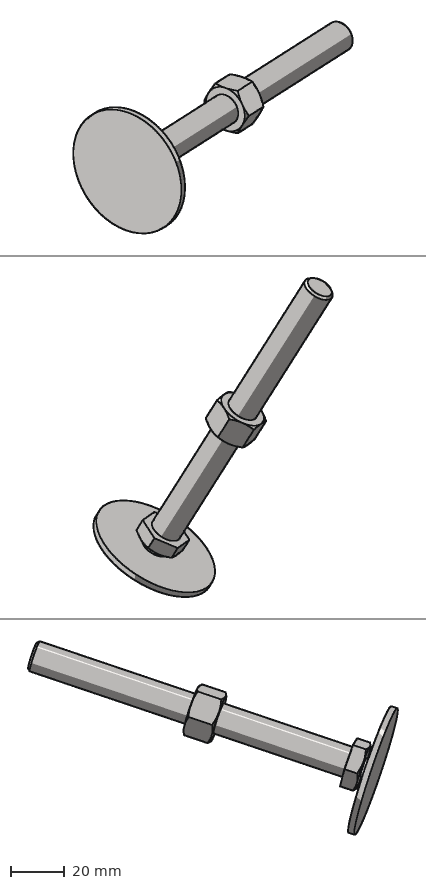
import cadquery as cq
import math

total_length = 136.0

foot_diameter = 50.0
foot_thickness = 2.5
neck_base_diameter = 11.4
neck_tip_diameter = 7.1
neck_height = 2.6

head_across_flats = 17.0
head_thickness = 5.8
shank_diameter = 12.0
shank_chamfer = 1.0

nut_across_flats = 18.0
nut_thickness = 10.9
nut_start = 62.3

bevel_angle = 30.0

head_start = foot_thickness + neck_height
shank_start = head_start + head_thickness
shank_length = total_length - shank_start


def plane_at(y):
    """Plane across the axis at height y, with its normal along +Y and its local x along X."""
    return cq.Plane(origin=(0, y, 0), xDir=(1, 0, 0), normal=(0, 1, 0))


def hexagon(across_flats, thickness, start, bevel_far_end):
    """Hexagonal prism with corners on X, beveled at its near end and optionally at its far end."""
    corner_radius = across_flats / 2 / math.cos(math.radians(30))
    face_radius = across_flats / 2
    bevel_depth = (corner_radius - face_radius) * math.tan(math.radians(bevel_angle))
    end = start + thickness

    prism = cq.Workplane(plane_at(start)).polygon(6, 2 * corner_radius).extrude(thickness)
    envelope = (
        cq.Workplane("XY")
        .moveTo(0, start)
        .lineTo(face_radius, start)
        .lineTo(corner_radius, start + bevel_depth)
    )
    if bevel_far_end:
        envelope = envelope.lineTo(corner_radius, end - bevel_depth).lineTo(face_radius, end)
    else:
        envelope = envelope.lineTo(corner_radius, end)
    envelope = envelope.lineTo(0, end).close().revolve(360, (0, 0, 0), (0, 1, 0))
    return prism.intersect(envelope)


def make_foot():
    """Disc and neck revolved as one profile."""
    return (
        cq.Workplane("XY")
        .lineTo(foot_diameter / 2, 0)
        .lineTo(foot_diameter / 2, foot_thickness)
        .lineTo(neck_base_diameter / 2, foot_thickness)
        .lineTo(neck_tip_diameter / 2, head_start)
        .lineTo(0, head_start)
        .close()
        .revolve(360, (0, 0, 0), (0, 1, 0))
    )


def make_bolt():
    """Head beveled towards the foot, and a shank with a chamfered free end."""
    head = hexagon(head_across_flats, head_thickness, head_start, bevel_far_end=False)
    shank = (
        cq.Workplane(plane_at(shank_start))
        .circle(shank_diameter / 2)
        .extrude(shank_length)
        .faces(">Y")
        .chamfer(shank_chamfer)
    )
    return head.union(shank)


def make_nut():
    """Nut beveled at both ends, with a bore that fits the shank."""
    bore = cq.Workplane(plane_at(nut_start)).circle(shank_diameter / 2).extrude(nut_thickness)
    return hexagon(nut_across_flats, nut_thickness, nut_start, bevel_far_end=True).cut(bore)


foot = make_foot()
bolt = make_bolt()
nut = make_nut()

result = cq.Compound.makeCompound([foot.val(), bolt.val(), nut.val()])